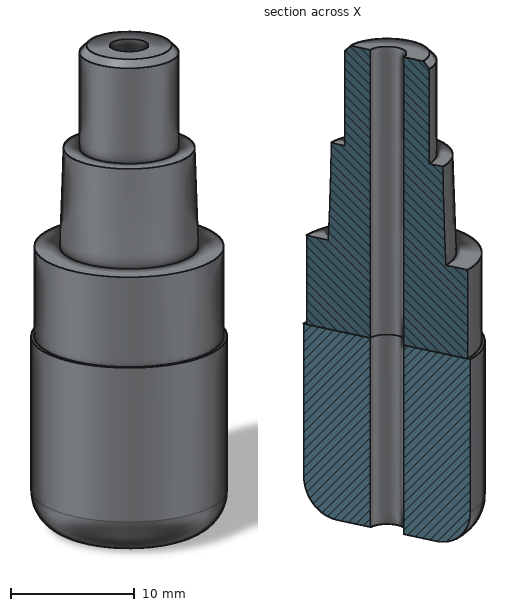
import cadquery as cq

total_height = 41.25
bore_radius = 1.55

cap_radius = 15.9 / 2
cap_height = 16.38
cap_bottom_fillet = 3.2

collar_radius = 7.67
collar_top = 24.05
neck_base_radius = 5.6
neck_top_radius = 5.32
neck_top = 32.5
spigot_radius = 8.05 / 2
spigot_chamfer = 0.58


def make_cap():
    """Cylinder with a rounded bottom rim and a through bore."""
    body = cq.Workplane("XY").circle(cap_radius).extrude(cap_height)
    body = body.faces("<Z").edges().fillet(cap_bottom_fillet)
    bore = cq.Workplane("XY").circle(bore_radius).extrude(cap_height)
    return body.cut(bore)


def make_stem():
    """Stepped profile from bore to outer surface, revolved about Z."""
    profile = (
        cq.Workplane("XZ")
        .moveTo(bore_radius, cap_height)
        .lineTo(collar_radius, cap_height)
        .lineTo(collar_radius, collar_top)
        .lineTo(neck_base_radius, collar_top)
        .lineTo(neck_top_radius, neck_top)
        .lineTo(spigot_radius, neck_top)
        .lineTo(spigot_radius, total_height - spigot_chamfer)
        .lineTo(spigot_radius - spigot_chamfer, total_height)
        .lineTo(bore_radius, total_height)
        .close()
    )
    return profile.revolve(360, (0, 0, 0), (0, 1, 0))


cap = make_cap()
stem = make_stem()

result = cq.Compound.makeCompound([cap.val(), stem.val()])